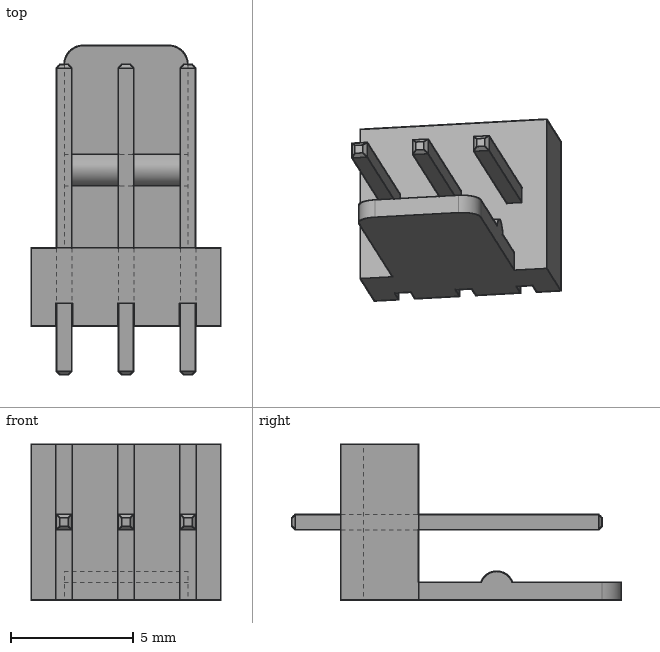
import cadquery as cq

HOUSING_WIDTH = 7.78
HOUSING_DEPTH = 3.2
HOUSING_HEIGHT = 6.4

PIN_COUNT = 3
PIN_PITCH = 2.54
PIN_SIZE = 0.63
PIN_LENGTH = 12.72
PIN_FRONT_REACH = 2.0
PIN_TIP_CHAMFER = 0.15
PIN_HEIGHT = HOUSING_HEIGHT / 2
PIN_POSITIONS = [(i - (PIN_COUNT - 1) / 2) * PIN_PITCH for i in range(PIN_COUNT)]

SLOT_WIDTH = 0.68
SLOT_DEPTH = 0.93

OVERALL_LENGTH = 13.5
TONGUE_LENGTH = OVERALL_LENGTH - PIN_FRONT_REACH - HOUSING_DEPTH
TONGUE_WIDTH = (PIN_COUNT - 1) * PIN_PITCH
TONGUE_THICKNESS = 0.74
TONGUE_CORNER_RADIUS = 0.8

RIDGE_WIDTH = 1.28
RIDGE_HEIGHT = 0.45
RIDGE_TO_TONGUE_END = 5.1


def make_pin(x):
    """Square bar with both ends chamfered to blunt points."""
    front_y = -HOUSING_DEPTH - PIN_FRONT_REACH
    return (
        cq.Workplane("XY")
        .box(PIN_SIZE, PIN_LENGTH, PIN_SIZE)
        .faces("<Y or >Y")
        .chamfer(PIN_TIP_CHAMFER)
        .translate((x, front_y + PIN_LENGTH / 2, PIN_HEIGHT))
    )


def make_tongue():
    """Flat tongue with rounded free corners."""
    return (
        cq.Workplane("XY")
        .box(TONGUE_WIDTH, TONGUE_LENGTH, TONGUE_THICKNESS, centered=(True, False, False))
        .edges("|Z and >Y")
        .fillet(TONGUE_CORNER_RADIUS)
    )


def make_ridge():
    """Circular-segment ridge across the full width of the tongue."""
    ridge_y = TONGUE_LENGTH - RIDGE_TO_TONGUE_END
    return (
        cq.Workplane("YZ", origin=(-TONGUE_WIDTH / 2, ridge_y, TONGUE_THICKNESS))
        .moveTo(-RIDGE_WIDTH / 2, 0)
        .threePointArc((0, RIDGE_HEIGHT), (RIDGE_WIDTH / 2, 0))
        .close()
        .extrude(TONGUE_WIDTH)
    )


def make_slot(x):
    """Full-height slot cutter open at the front face."""
    return (
        cq.Workplane("XY")
        .box(SLOT_WIDTH, SLOT_DEPTH, HOUSING_HEIGHT, centered=(True, False, False))
        .translate((x, -HOUSING_DEPTH, 0))
    )


def make_pin_hole(x):
    """Square through hole that fits a pin exactly."""
    return (
        cq.Workplane("XY")
        .box(PIN_SIZE, HOUSING_DEPTH, PIN_SIZE)
        .translate((x, -HOUSING_DEPTH / 2, PIN_HEIGHT))
    )


def make_housing():
    """Block with its tongue and ridge, slotted and pierced for the pins."""
    block = (
        cq.Workplane("XY")
        .box(HOUSING_WIDTH, HOUSING_DEPTH, HOUSING_HEIGHT, centered=(True, False, False))
        .translate((0, -HOUSING_DEPTH, 0))
    )
    body = block.union(make_tongue()).union(make_ridge())
    for x in PIN_POSITIONS:
        body = body.cut(make_slot(x)).cut(make_pin_hole(x))
    return body


housing = make_housing()
pins = [make_pin(x) for x in PIN_POSITIONS]

result = cq.Compound.makeCompound([housing.solids().val(), *[pin.solids().val() for pin in pins]])